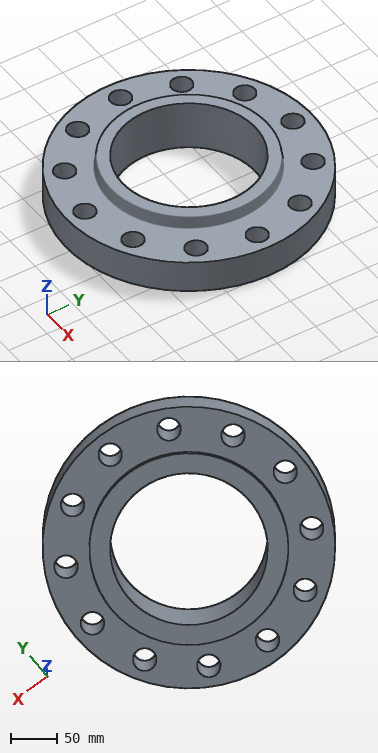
import cadquery as cq
import math

flange_diameter = 317.5
flange_thickness = 41.3
bore_diameter = 170.8

raised_face_diameter = 215.8
raised_face_height = 6.5

hub_base_diameter = 206.3
hub_height = 16.0
hub_taper_degrees = 9.0
hub_base_fillet = 1.5
hub_top_fillet = 1.5

bolt_circle_diameter = 269.8
bolt_hole_diameter = 25.5
bolt_hole_count = 12

flange_bottom = raised_face_height
flange_top = flange_bottom + flange_thickness
hub_top = flange_top + hub_height


def make_disc(diameter, bottom, height):
    return cq.Workplane("XY").workplane(offset=bottom).circle(diameter / 2).extrude(height)


def make_hub():
    base_radius = hub_base_diameter / 2
    top_radius = base_radius - hub_height * math.tan(math.radians(hub_taper_degrees))
    cone = cq.Solid.makeCone(base_radius, top_radius, hub_height, pnt=cq.Vector(0, 0, flange_top))
    return cq.Workplane(cone).faces(">Z").edges().fillet(hub_top_fillet)


def fillet_hub_base(body):
    margin = hub_base_fillet
    root_edge = cq.selectors.BoxSelector(
        (-hub_base_diameter, -hub_base_diameter, flange_top - margin),
        (hub_base_diameter, hub_base_diameter, flange_top + margin),
    )
    smallest_edge = cq.selectors.RadiusNthSelector(0)
    return body.edges(root_edge).edges(smallest_edge).fillet(hub_base_fillet)


def cut_bore(body):
    return body.cut(make_disc(bore_diameter, 0, hub_top))


def cut_bolt_holes(body):
    holes = (
        cq.Workplane("XY")
        .workplane(offset=flange_bottom)
        .polarArray(bolt_circle_diameter / 2, 0, 360, bolt_hole_count)
        .circle(bolt_hole_diameter / 2)
        .extrude(flange_thickness)
    )
    return body.cut(holes)


raised_face = make_disc(raised_face_diameter, 0, raised_face_height)
flange = make_disc(flange_diameter, flange_bottom, flange_thickness)
body = fillet_hub_base(raised_face.union(flange).union(make_hub()))
result = cut_bolt_holes(cut_bore(body))